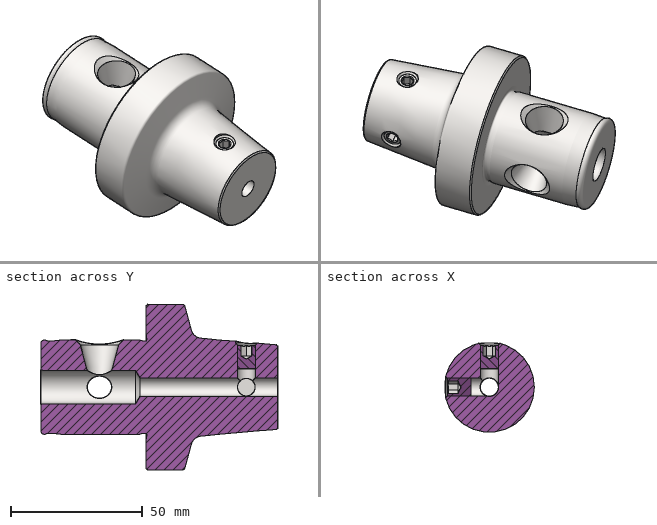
import cadquery as cq
import math

TOTAL_LENGTH = 90.0
FLANGE_FRONT = 40.0
FLANGE_RADIUS = 31.5
FLANGE_CHAMFER = 0.5
FLANGE_EDGE_RADIUS = 1.0
FLANGE_BACK = 54.8
BACK_CONE_ANGLE = math.radians(15.0)

SHANK_RADIUS = 18.0
BEAD_RADIUS = 1.4
BEAD_END = 2.0
LEAD_START = 2.5
LEAD_RADIUS = 17.6
LEAD_END = 7.9

RELIEF_START = 37.4
RELIEF_FLOOR_START = 38.8
RELIEF_RADIUS = 17.6
RELIEF_CORNER = 0.5
RELIEF_RIM_RADIUS = 19.7
RELIEF_FACE_DEPTH = 0.3

NOSE_START = 60.75
NOSE_START_RADIUS = 18.7
NOSE_END_RADIUS = 16.1
NOSE_CHAMFER = 0.5
NOSE_SLOPE = (NOSE_START_RADIUS - NOSE_END_RADIUS) / (TOTAL_LENGTH - NOSE_START)
NOSE_ANGLE = math.atan(NOSE_SLOPE)
NECK_FILLET = 4.0

BORE_RADIUS = 6.3
BORE_MOUTH_RADIUS = 6.5
BORE_MOUTH_DEPTH = 0.9
BORE_DEPTH = 36.0
DRILL_HALF_ANGLE = math.radians(59.0)
THROUGH_RADIUS = 3.4

CLAMP_X = 22.3
CLAMP_RADIUS = 7.2
CLAMP_TOP = 16.0
CLAMP_HALF_ANGLE = math.radians(15.0)

SCREW_X = 78.0
SCREW_RADIUS = 3.3
SCREW_TOP = 15.9
SCREW_LENGTH = 9.0
SCREW_MOUTH_RADIUS = 4.05
SOCKET_FLATS = 4.0
SOCKET_DEPTH = 4.05
SOCKET_MOUTH_RADIUS = 2.4
SOCKET_POINT_HALF_ANGLE = math.radians(60.0)

HOLE_TURNS = (0.0, -90.0)
CLEARANCE = 4.5


def nose_radius(x):
    return NOSE_START_RADIUS - NOSE_SLOPE * (x - NOSE_START)


def turn_about_axis(body, angle):
    return body.rotate((0, 0, 0), (1, 0, 0), angle)


def upright_cylinder(x, z_low, z_high, radius):
    """Cylinder standing along Z at a place on the tool axis."""
    return cq.Workplane("XY", origin=(x, 0, z_low)).circle(radius).extrude(z_high - z_low)


def upright_cone(x, z_low, r_low, z_high, r_high):
    """Cone frustum standing along Z at a place on the tool axis."""
    return cq.Workplane(cq.Solid.makeCone(r_low, r_high, z_high - z_low, cq.Vector(x, 0, z_low)))


def turned_blank():
    """Outer shape, turned about the tool axis."""
    sin_cone = math.sin(BACK_CONE_ANGLE)
    cos_cone = math.cos(BACK_CONE_ANGLE)

    bead_centre_r = SHANK_RADIUS - BEAD_RADIUS
    bead_end_r = bead_centre_r + math.sqrt(BEAD_RADIUS**2 - (BEAD_END - BEAD_RADIUS)**2)
    bead_top = (BEAD_RADIUS, SHANK_RADIUS)

    rim_end = FLANGE_BACK - FLANGE_EDGE_RADIUS * cos_cone
    rim_centre_r = FLANGE_RADIUS - FLANGE_EDGE_RADIUS
    rim_mid_angle = (math.pi / 2 + BACK_CONE_ANGLE) / 2
    rim_middle = (
        rim_end + FLANGE_EDGE_RADIUS * math.cos(rim_mid_angle),
        rim_centre_r + FLANGE_EDGE_RADIUS * math.sin(rim_mid_angle),
    )
    rim_corner = (FLANGE_BACK, rim_centre_r + FLANGE_EDGE_RADIUS * sin_cone)

    neck_centre_x = NOSE_START + NECK_FILLET * math.sin(NOSE_ANGLE)
    neck_centre_r = NOSE_START_RADIUS + NECK_FILLET * math.cos(NOSE_ANGLE)
    neck_start = (neck_centre_x - NECK_FILLET * cos_cone, neck_centre_r - NECK_FILLET * sin_cone)
    neck_mid_angle = (BACK_CONE_ANGLE + math.pi / 2 - NOSE_ANGLE) / 2
    neck_middle = (
        neck_centre_x - NECK_FILLET * math.cos(neck_mid_angle),
        neck_centre_r - NECK_FILLET * math.sin(neck_mid_angle),
    )

    relief_face = FLANGE_FRONT + RELIEF_FACE_DEPTH
    nose_end = TOTAL_LENGTH - NOSE_CHAMFER
    return (
        cq.Workplane("XY")
        .moveTo(0, 0)
        .lineTo(0, bead_centre_r)
        .threePointArc(bead_top, (BEAD_END, bead_end_r))
        .lineTo(LEAD_START, LEAD_RADIUS)
        .lineTo(LEAD_END, SHANK_RADIUS)
        .lineTo(RELIEF_START, SHANK_RADIUS)
        .lineTo(RELIEF_FLOOR_START, RELIEF_RADIUS)
        .lineTo(relief_face - RELIEF_CORNER, RELIEF_RADIUS)
        .tangentArcPoint((relief_face, RELIEF_RADIUS + RELIEF_CORNER), relative=False)
        .lineTo(FLANGE_FRONT, RELIEF_RIM_RADIUS)
        .lineTo(FLANGE_FRONT, FLANGE_RADIUS - FLANGE_CHAMFER)
        .lineTo(FLANGE_FRONT + FLANGE_CHAMFER, FLANGE_RADIUS)
        .lineTo(rim_end, FLANGE_RADIUS)
        .threePointArc(rim_middle, rim_corner)
        .lineTo(*neck_start)
        .threePointArc(neck_middle, (NOSE_START, NOSE_START_RADIUS))
        .lineTo(nose_end, nose_radius(nose_end))
        .lineTo(TOTAL_LENGTH, nose_radius(nose_end) - NOSE_CHAMFER)
        .lineTo(TOTAL_LENGTH, 0)
        .close()
        .revolve(360, (0, 0), (1, 0))
    )


def central_bore():
    """Stepped bore: flared mouth, wide bore with a drill-point end, narrow through hole."""
    point_length = (BORE_RADIUS - THROUGH_RADIUS) / math.tan(DRILL_HALF_ANGLE)
    profile = [
        (0, 0),
        (0, BORE_MOUTH_RADIUS),
        (BORE_MOUTH_DEPTH, BORE_RADIUS),
        (BORE_DEPTH, BORE_RADIUS),
        (BORE_DEPTH + point_length, THROUGH_RADIUS),
        (TOTAL_LENGTH, THROUGH_RADIUS),
        (TOTAL_LENGTH, 0),
    ]
    return cq.Workplane("XY").polyline(profile).close().revolve(360, (0, 0), (1, 0))


def clamping_hole():
    """Conical hole from the shank surface into the bore, with a 45 degree countersink."""
    foot_radius = CLAMP_RADIUS - CLAMP_TOP * math.tan(CLAMP_HALF_ANGLE)
    cone = upright_cone(CLAMP_X, 0, foot_radius, CLAMP_TOP, CLAMP_RADIUS)
    sink = upright_cone(CLAMP_X, CLAMP_TOP, CLAMP_RADIUS, CLAMP_TOP + CLEARANCE, CLAMP_RADIUS + CLEARANCE)
    return cone.union(sink)


def screw_hole():
    """Hole from the nose surface into the through hole, widened by a 45 degree seat at the top."""
    mouth_bottom = math.sqrt(nose_radius(SCREW_X)**2 - SCREW_MOUTH_RADIUS**2)
    seat_bottom = mouth_bottom - (SCREW_MOUTH_RADIUS - SCREW_RADIUS)
    shaft = upright_cylinder(SCREW_X, 0, seat_bottom, SCREW_RADIUS)
    seat = upright_cone(SCREW_X, seat_bottom, SCREW_RADIUS, mouth_bottom, SCREW_MOUTH_RADIUS)
    mouth = upright_cylinder(SCREW_X, mouth_bottom, mouth_bottom + CLEARANCE, SCREW_MOUTH_RADIUS)
    return shaft.union(seat).union(mouth)


def make_holder():
    holder = turned_blank().cut(central_bore())
    for angle in HOLE_TURNS:
        holder = holder.cut(turn_about_axis(clamping_hole(), angle))
        holder = holder.cut(turn_about_axis(screw_hole(), angle))
    return holder


def make_set_screw(angle):
    """Headless screw with a hexagon socket, filling its hole below the seat."""
    body = upright_cylinder(SCREW_X, SCREW_TOP - SCREW_LENGTH, SCREW_TOP, SCREW_RADIUS)

    across_corners = SOCKET_FLATS / math.cos(math.pi / 6)
    socket_floor = SCREW_TOP - SOCKET_DEPTH
    socket = (
        cq.Workplane("XY", origin=(SCREW_X, 0, socket_floor))
        .polygon(6, across_corners)
        .extrude(SOCKET_DEPTH)
        .rotate((SCREW_X, 0, 0), (SCREW_X, 0, 1), 90)
    )
    flat_radius = SOCKET_FLATS / 2
    mouth_depth = SOCKET_MOUTH_RADIUS - flat_radius
    mouth = upright_cone(SCREW_X, SCREW_TOP - mouth_depth, flat_radius, SCREW_TOP, SOCKET_MOUTH_RADIUS)
    point_length = flat_radius / math.tan(SOCKET_POINT_HALF_ANGLE)
    point = upright_cone(SCREW_X, socket_floor - point_length, 0, socket_floor, flat_radius)

    screw = body.cut(socket).cut(mouth).cut(point)
    return turn_about_axis(screw, angle)


holder = make_holder()
set_screws = [make_set_screw(angle) for angle in HOLE_TURNS]

result = cq.Compound.makeCompound([holder.val(), *[screw.val() for screw in set_screws]])